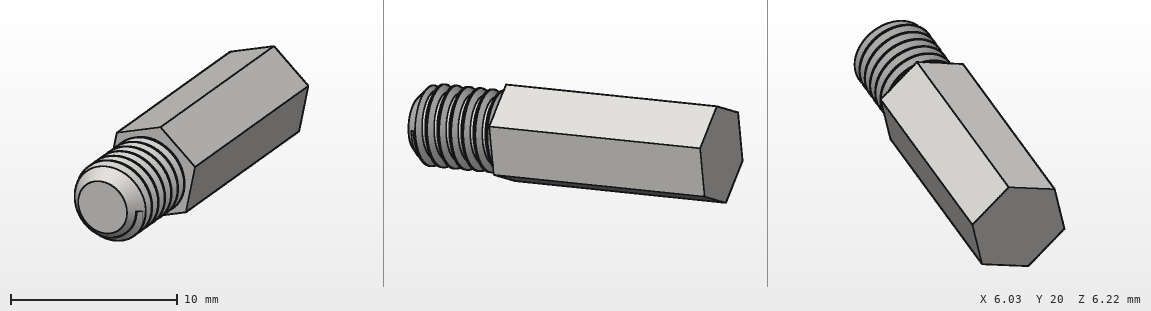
import cadquery as cq
import math

total_length = 20.0
stud_length = 6.0
across_flats = 5.5
hex_turn = -18.4

thread_diameter = 5.0
pitch = 0.8
tip_radius = 1.68
flank_angle = 30.0

crest_radius = thread_diameter / 2
full_thread_height = pitch * math.sqrt(3) / 2
root_radius = crest_radius - 5 / 8 * full_thread_height
root_flat = pitch / 4
groove_start = pitch / 2
stud_root_length = 2 * pitch
cut_clearance = 0.02


def hexagonal_body():
    across_corners = across_flats / math.cos(math.pi / 6)
    return (
        cq.Workplane("XY", origin=(0, 0, stud_length))
        .polygon(6, across_corners)
        .extrude(total_length - stud_length)
        .rotate((0, 0, 0), (0, 0, 1), hex_turn)
    )


def chamfered_blank():
    chamfer = crest_radius - tip_radius
    blank = cq.Workplane("XY").circle(crest_radius).extrude(stud_length + stud_root_length)
    return blank.faces("<Z").chamfer(chamfer)


def thread_groove():
    turns = math.ceil((stud_length - groove_start) / pitch) + 1
    helix = cq.Wire.makeHelix(pitch, turns * pitch, root_radius, cq.Vector(0, 0, groove_start))
    outer_radius = crest_radius + cut_clearance
    half_root = root_flat / 2
    half_mouth = half_root + (outer_radius - root_radius) * math.tan(math.radians(flank_angle))
    profile = cq.Workplane("XZ").polyline(
        [
            (root_radius, groove_start - half_root),
            (outer_radius, groove_start - half_mouth),
            (outer_radius, groove_start + half_mouth),
            (root_radius, groove_start + half_root),
        ]
    ).close()
    return profile.sweep(cq.Workplane(obj=helix), isFrenet=True)


stud = chamfered_blank().cut(thread_groove())
standoff = hexagonal_body().union(stud)

result = standoff.rotate((0, 0, 0), (1, 0, 0), -90)